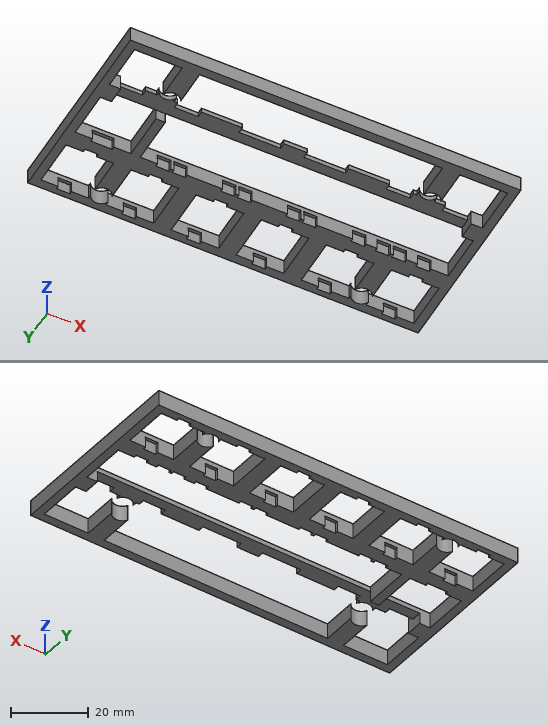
import cadquery as cq

length = 114.3
columns = 6
rows = 3
key_pitch = length / columns
width = rows * key_pitch
thickness = 4.8
lip = 1.5

opening = 14.0
margin = (key_pitch - opening) / 2
wide_key = 1.25

clip_width = 3.9
clip_depth = 0.9

screw_diameter = 5.6
screw_offset = 4.8

notch_spans = [(5.8, 13.3), (22.6, 29.6), (41.6, 53.7)]
notch_depth = 1.8
lip_setback = 0.2


def box(x_start, x_end, y_start, y_end, z_start=0.0, z_end=thickness):
    """Box between two opposite corners."""
    return cq.Workplane("XY").box(
        x_end - x_start, y_end - y_start, z_end - z_start, centered=False
    ).translate((x_start, y_start, z_start))


def row_bottom(row):
    """Lower Y edge of the openings in a row; row 0 is at the -Y side."""
    return row * key_pitch + margin


def row_opening(row, x_start, x_end):
    """Through opening one switch high."""
    return box(x_start, x_end, row_bottom(row), row_bottom(row) + opening)


def clip_recess(x_center, y_edge, direction):
    """Recess below the lip, cut into a wall at y_edge."""
    y_low, y_high = sorted((y_edge, y_edge + direction * clip_depth))
    return box(x_center - clip_width / 2, x_center + clip_width / 2, y_low, y_high, 0, thickness - lip)


plate = box(0, length, 0, width)

top_row = rows - 1
for column in range(columns):
    x_left = column * key_pitch + margin
    x_center = x_left + opening / 2
    plate = plate.cut(row_opening(top_row, x_left, x_left + opening))
    plate = plate.cut(clip_recess(x_center, row_bottom(top_row) + opening, 1))
    plate = plate.cut(clip_recess(x_center, row_bottom(top_row), -1))

plate = plate.cut(row_opening(1, margin, wide_key * key_pitch / 2 + opening / 2))
plate = plate.cut(row_opening(1, key_pitch + margin, length - margin))
middle_keys = [0.5, 0.625, 1.5, 1.75, 2.5, 2.75, 3.5, 3.75, 4.5, 4.875, 5.125, 5.5]
for key in middle_keys:
    plate = plate.cut(clip_recess(key * key_pitch, row_bottom(1) + opening, 1))

bottom_spans = [
    (margin, key_pitch - margin),
    (key_pitch + margin, length - key_pitch - margin),
    (length - key_pitch + margin, length - margin),
]
for x_start, x_end in bottom_spans:
    plate = plate.cut(row_opening(0, x_start, x_end))

web_edge = row_bottom(0) + opening
lip_edge = web_edge + lip_setback
lip_start = notch_spans[0][0]
lip_end = length - lip_start
plate = plate.cut(box(lip_start, lip_end, web_edge, row_bottom(1), 0, thickness - lip))
for x_start, x_end in bottom_spans:
    plate = plate.cut(box(max(x_start, lip_start), min(x_end, lip_end), web_edge, lip_edge))

for near, far in notch_spans:
    for x_start, x_end in ((near, far), (length - far, length - near)):
        plate = plate.cut(box(x_start, x_end, web_edge, lip_edge + notch_depth))

screw_y = key_pitch - screw_offset
for x in (key_pitch, length - key_pitch):
    plate = plate.cut(box(x - margin, x + margin, screw_y, web_edge, 0, thickness - lip))

for x in (key_pitch, length - key_pitch):
    for row in (0, top_row):
        hole = cq.Workplane("XY").center(x, row * key_pitch + screw_y)
        plate = plate.cut(hole.circle(screw_diameter / 2).extrude(thickness))

result = plate.translate((-length / 2, -width / 2, 0))